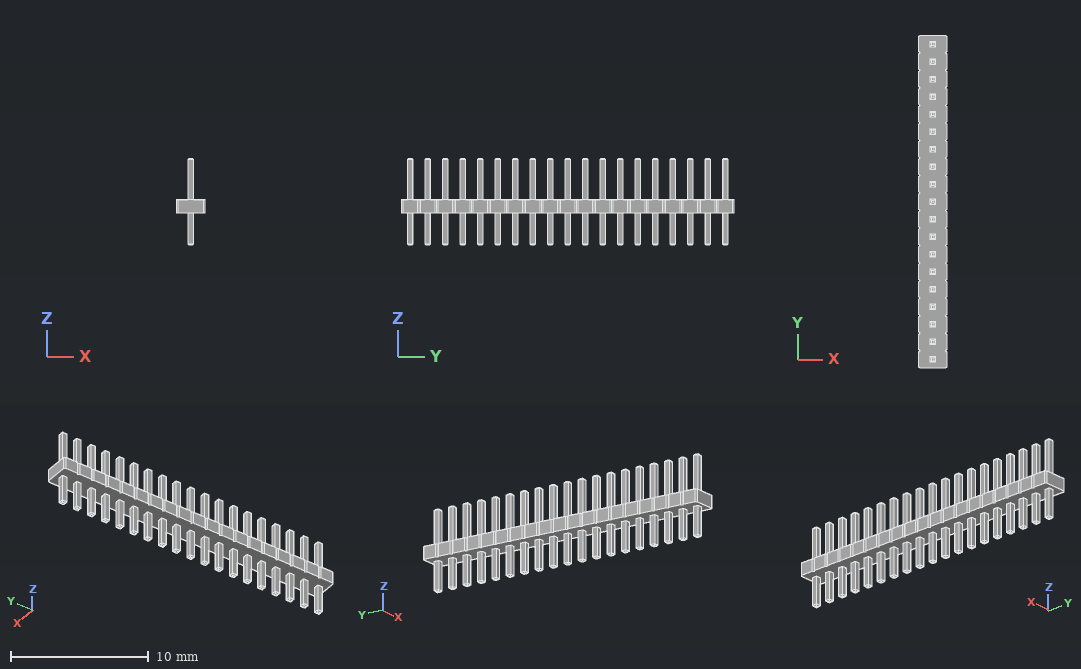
import cadquery as cq

row_length = 24.13
pin_count = 19
body_width = 2.1
body_height = 1.0
corner_bevel = 0.12
pin_size = 0.4
pin_above = 3.0
pin_below = 2.32
tip_bevel = 0.1

pitch = row_length / pin_count
tip_size = pin_size - 2 * tip_bevel
body_top = body_height / 2
body_bottom = -body_height / 2
first_pin_y = -(pin_count - 1) / 2 * pitch


def body_segment():
    """One pitch of the insulator: a block with four bevelled vertical corners."""
    half_width = body_width / 2
    half_pitch = pitch / 2
    inner_x = half_width - corner_bevel
    inner_y = half_pitch - corner_bevel
    outline = [
        (half_width, -inner_y),
        (half_width, inner_y),
        (inner_x, half_pitch),
        (-inner_x, half_pitch),
        (-half_width, inner_y),
        (-half_width, -inner_y),
        (-inner_x, -half_pitch),
        (inner_x, -half_pitch),
    ]
    return cq.Workplane("XY").workplane(offset=body_bottom).polyline(outline).close().extrude(body_height)


def tapered_tip(base_z, direction):
    """Pyramid frustum at a pin end, narrowing upward (+1) or downward (-1)."""
    return (
        cq.Workplane("XY")
        .workplane(offset=base_z)
        .rect(pin_size, pin_size)
        .workplane(offset=direction * tip_bevel)
        .rect(tip_size, tip_size)
        .loft(ruled=True)
    )


def pin():
    """Square pin through the body, tapered at both ends."""
    shank_bottom = body_bottom - pin_below + tip_bevel
    shank_top = body_top + pin_above - tip_bevel
    shank = (
        cq.Workplane("XY")
        .workplane(offset=shank_bottom)
        .rect(pin_size, pin_size)
        .extrude(shank_top - shank_bottom)
    )
    return shank.union(tapered_tip(shank_top, 1)).union(tapered_tip(shank_bottom, -1))


header_position = body_segment().union(pin())
result = cq.Workplane("XY")
for index in range(pin_count):
    result = result.union(header_position.translate((0, first_pin_y + index * pitch, 0)))